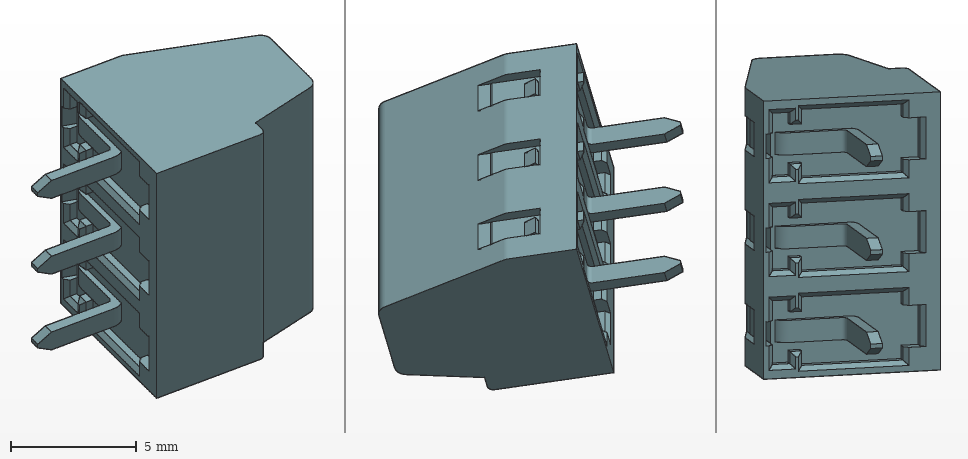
import cadquery as cq
import math


body_width = 7.3
overall_depth = 12.0
body_depth = 8.5
body_height = 11.3
bevel_start = 2.88
bevel_inset = 1.82
rear_right_inset = 1.67
ledge_width = 0.77
ledge_depth = 5.1
edge_radius = 0.5
ledge_radius = 0.25

pole_count = 3
pole_pitch = 3.81

pocket_depth = 0.5
mouth_chamfer = 0.19
pocket_left = 0.41
pocket_right = 5.8
entry_half_height = 1.3
main_half_height = 1.39
rib_left = 1.13
rib_right = 1.62
rib_half_gap = 0.8
tab_right = 6.5
tab_height = 1.7

groove_left = 0.1
groove_height = 0.98
groove_angle = 75.0

metal_thickness = 0.48
terminal_height = 0.9
strip_front = 0.25
pin_left = 3.47
pin_end = body_depth - overall_depth
hook_flat_start = 1.13
bend_inner_radius = 0.18
bend_outer_radius = bend_inner_radius + metal_thickness
point_length = 0.65
point_height = 0.18

recess_start = 1.49
recess_end = 4.09
recess_height = 1.39
recess_floor = 0.38
recess_rear_floor = 0.41
recess_step = 3.53
recess_step_length = 0.06
barb_foot = 1.63
barb_peak = 1.72
barb_base = 2.21
barb_angle = 22.7
barb_height = 0.82


def prism(outline, height):
    """Extrude a closed XY outline symmetrically about Z = 0."""
    return cq.Workplane("XY").polyline(outline).close().extrude(height / 2, both=True)


def housing():
    outline = [
        (0, 0),
        (body_width, 0),
        (body_width, ledge_depth),
        (body_width - ledge_width, ledge_depth),
        (body_width - rear_right_inset, body_depth),
        (bevel_inset, body_depth),
        (0, bevel_start),
    ]
    block = prism(outline, body_height)
    for x, y, radius in (
        (body_width, ledge_depth, ledge_radius),
        (body_width - rear_right_inset, body_depth, edge_radius),
        (bevel_inset, body_depth, edge_radius),
        (0, bevel_start, edge_radius),
    ):
        block = block.edges(cq.selectors.NearestToPointSelector((x, y, 0))).fillet(radius)
    return block


def pocket_outline(growth):
    """XZ outline of the ribbed pocket, with every wall moved outwards by growth."""
    upper_half = [
        (pocket_left - growth, entry_half_height + growth),
        (rib_left + growth, entry_half_height + growth),
        (rib_left + growth, rib_half_gap + growth),
        (rib_right - growth, rib_half_gap + growth),
        (rib_right - growth, main_half_height + growth),
        (pocket_right + growth, main_half_height + growth),
    ]
    lower_half = [(x, -z) for x, z in reversed(upper_half)]
    return upper_half + lower_half


def pocket():
    """Ribbed pocket with a chamfered mouth and a tab on its right."""
    straight = cq.Workplane("XZ").polyline(pocket_outline(0)).close().extrude(-pocket_depth)
    mouth = (
        cq.Workplane("XZ")
        .polyline(pocket_outline(mouth_chamfer))
        .close()
        .workplane(offset=-mouth_chamfer)
        .polyline(pocket_outline(0))
        .close()
        .loft(ruled=True)
    )
    tab = [
        (pocket_right - mouth_chamfer, 0),
        (tab_right + mouth_chamfer, 0),
        (tab_right, mouth_chamfer),
        (tab_right, pocket_depth),
        (pocket_right - mouth_chamfer, pocket_depth),
    ]
    return straight.union(mouth).union(prism(tab, tab_height))


def wall_groove():
    """Wedge that narrows from the mouth to the line of the left pocket wall."""
    groove_depth = (pocket_left - groove_left) * math.tan(math.radians(groove_angle))
    outline = [(groove_left, 0), (pocket_left + mouth_chamfer, 0),
               (pocket_left + mouth_chamfer, mouth_chamfer),
               (pocket_left, mouth_chamfer), (pocket_left, groove_depth)]
    return prism(outline, groove_height)


def wall_recess():
    barb_rise = (barb_base - barb_peak) * math.tan(math.radians(barb_angle))
    outline = [
        (-recess_floor, recess_start),
        (recess_floor, recess_start),
        (recess_floor, recess_step),
        (recess_rear_floor, recess_step + recess_step_length),
        (recess_rear_floor, recess_end),
        (-recess_floor, recess_end),
    ]
    barb = [(recess_floor, barb_base), (recess_floor - barb_rise, barb_peak), (recess_floor, barb_foot)]
    return prism(outline, recess_height).cut(prism(barb, barb_height))


def terminal():
    pin_right = pin_left + metal_thickness
    strip_back = strip_front + metal_thickness
    hook_center_y = strip_front + bend_outer_radius
    hook_left = hook_flat_start - bend_outer_radius
    diagonal = math.sqrt(0.5)
    bent_metal = (
        cq.Workplane("XY")
        .moveTo(hook_left, hook_center_y)
        .threePointArc(
            (hook_flat_start - bend_outer_radius * diagonal, hook_center_y - bend_outer_radius * diagonal),
            (hook_flat_start, strip_front),
        )
        .lineTo(pin_left - bend_inner_radius, strip_front)
        .radiusArc((pin_left, strip_front - bend_inner_radius), bend_inner_radius)
        .lineTo(pin_left, pin_end)
        .lineTo(pin_right, pin_end)
        .lineTo(pin_right, strip_back - bend_outer_radius)
        .radiusArc((pin_right - bend_outer_radius, strip_back), -bend_outer_radius)
        .lineTo(hook_flat_start, strip_back)
        .radiusArc((hook_left + metal_thickness, hook_center_y), -bend_inner_radius)
        .close()
        .extrude(terminal_height / 2, both=True)
    )
    point_start = pin_end + point_length
    side_view = [
        (pin_end, point_height / 2),
        (point_start, terminal_height / 2),
        (hook_center_y, terminal_height / 2),
        (hook_center_y, -terminal_height / 2),
        (point_start, -terminal_height / 2),
        (pin_end, -point_height / 2),
    ]
    pointed = cq.Workplane("YZ").polyline(side_view).close().extrude(pin_right)
    return bent_metal.intersect(pointed)


pole_cut = pocket().union(wall_groove()).union(wall_recess())
pole_terminal = terminal()
result = housing()
for pole in range(pole_count):
    pole_offset = (0, 0, (pole - (pole_count - 1) / 2) * pole_pitch)
    result = result.cut(pole_cut.translate(pole_offset))
    result = result.union(pole_terminal.translate(pole_offset))